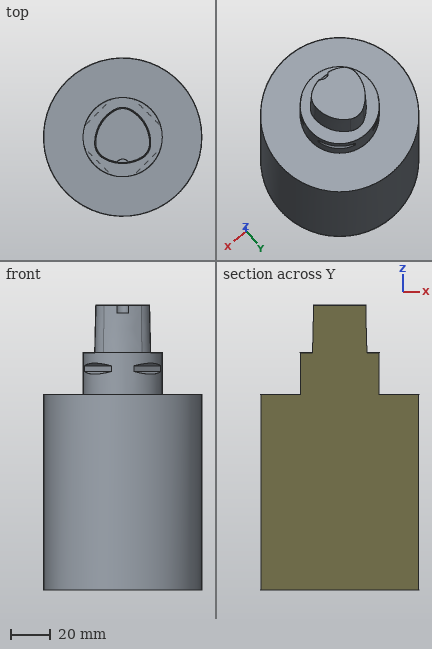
import cadquery as cq
import math

total_height = 144.0
body_diameter = 80.0
flange_diameter = body_diameter / 2
shank_height = 24.0
flange_height = 21.0
body_height = total_height - shank_height - flange_height
flange_top = body_height + flange_height

lobe_count = 3
lobe_offset = 6.0
lobe_radius_base = 9.0
lobe_radius_top = 8.4

notch_radius = 3.5
notch_depth = 4.0
notch_centre_y = -14.5

groove_count = 4
groove_first_angle = 45.0
groove_drop = 8.0
groove_floor_height = 2.7
groove_floor_distance = 17.5
groove_wall_angle = 30.0
groove_overshoot = 1.5


def polar(radius, angle, centre=(0.0, 0.0)):
    """Point at a radius and an angle in degrees around a centre."""
    turn = math.radians(angle)
    return (centre[0] + radius * math.cos(turn), centre[1] + radius * math.sin(turn))


def lobed_wire(lobe_radius, height):
    """Closed curve of tangent arcs: a small arc per lobe, a large arc per flank."""
    flank_radius = lobe_offset * math.sqrt(lobe_count) + lobe_radius
    lobe_step = 360.0 / lobe_count
    half_lobe = lobe_step / 4
    first_lobe = 90.0
    start = polar(lobe_radius, first_lobe - half_lobe, polar(lobe_offset, first_lobe))
    outline = cq.Workplane("XY", origin=(0, 0, height)).moveTo(*start)
    for index in range(lobe_count):
        lobe_angle = first_lobe + index * lobe_step
        lobe_centre = polar(lobe_offset, lobe_angle)
        outline = outline.threePointArc(
            polar(lobe_radius, lobe_angle, lobe_centre),
            polar(lobe_radius, lobe_angle + half_lobe, lobe_centre),
        )
        flank_angle = lobe_angle + lobe_step / 2
        next_angle = lobe_angle + lobe_step
        outline = outline.threePointArc(
            polar(flank_radius - lobe_offset, flank_angle),
            polar(lobe_radius, next_angle - half_lobe, polar(lobe_offset, next_angle)),
        )
    return outline.close().val()


def make_shank():
    """Tapered shank with its orientation notch."""
    base = lobed_wire(lobe_radius_base, flange_top)
    top = lobed_wire(lobe_radius_top, total_height)
    shank = cq.Workplane("XY").add(cq.Solid.makeLoft([base, top], True))
    notch = (
        cq.Workplane("XY", origin=(0, notch_centre_y, total_height - notch_depth))
        .circle(notch_radius)
        .extrude(notch_depth)
    )
    return shank.cut(notch)


def make_groove(angle):
    """Straight groove that widens outwards from its flat floor."""
    outer = flange_diameter / 2 + groove_overshoot
    half_floor = groove_floor_height / 2
    wall_rise = (outer - groove_floor_distance) * math.tan(math.radians(groove_wall_angle))
    half_mouth = half_floor + wall_rise
    groove = (
        cq.Workplane("XZ", origin=(0, 0, flange_top - groove_drop))
        .polyline([
            (groove_floor_distance, -half_floor),
            (outer, -half_mouth),
            (outer, half_mouth),
            (groove_floor_distance, half_floor),
        ])
        .close()
        .extrude(flange_diameter / 2, both=True)
    )
    return groove.rotate((0, 0, 0), (0, 0, 1), angle)


def make_flange():
    """Cylindrical flange with evenly spaced gripper grooves."""
    flange = (
        cq.Workplane("XY", origin=(0, 0, body_height))
        .circle(flange_diameter / 2)
        .extrude(flange_height)
    )
    for index in range(groove_count):
        flange = flange.cut(make_groove(groove_first_angle + index * 360.0 / groove_count))
    return flange


body = cq.Workplane("XY").circle(body_diameter / 2).extrude(body_height)
result = body.union(make_flange()).union(make_shank())